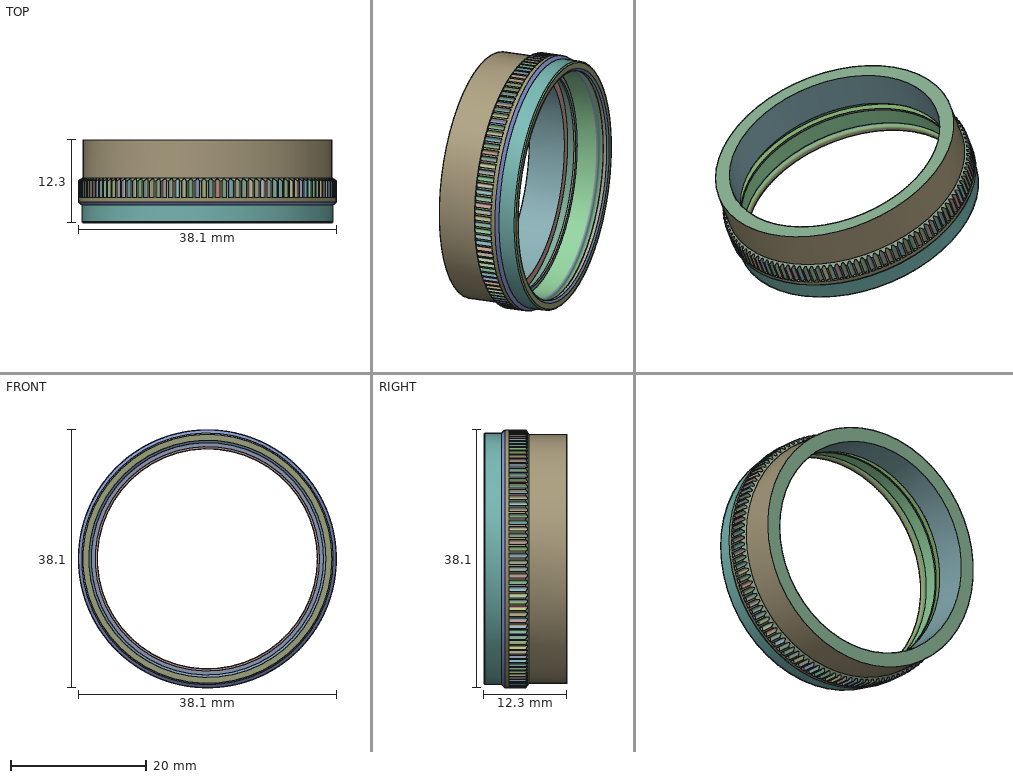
import cadquery as cq
import math

length = 12.27

collar_diameter = 38.1
front_diameter = 37.16
sleeve_diameter = 36.78
collar_radius = collar_diameter / 2
front_radius = front_diameter / 2
sleeve_radius = sleeve_diameter / 2

collar_front = 2.62
knurl_front = 3.73
collar_rear = 6.64
collar_chamfer = collar_radius - front_radius
front_chamfer = 0.2
knurl_bevel = 0.46

front_bore_diameter = 34.29
lip_diameter = 33.12
rear_bore_diameter = 32.46
front_bore_radius = front_bore_diameter / 2
lip_radius = lip_diameter / 2
rear_bore_radius = rear_bore_diameter / 2
undercut_radius = 17.5

bore_chamfer_radial = 0.36
bore_chamfer_depth = 0.26
lip_front = 4.96
lip_rear = 5.26
undercut_rear = collar_rear

groove_front = 0.62
groove_round = 0.32

knurl_count = 120
knurl_root_radius = 18.62
knurl_root_round = 0.2
knurl_half_angle = math.radians(30)
knurl_overshoot = 0.2


def ring_body():
    """Revolve the wall section, drawn with radius along X, about the Y axis."""
    diagonal = groove_round * math.sqrt(0.5)
    fillet_mid_radius = front_bore_radius + groove_round - diagonal
    groove_mouth = groove_front + groove_round
    groove_end = groove_mouth + 2 * groove_round
    groove_rear = groove_end + groove_round
    groove_wall_radius = front_bore_radius + groove_round

    section = (
        cq.Workplane("XY")
        .moveTo(front_bore_radius + bore_chamfer_radial, 0)
        .lineTo(front_radius - front_chamfer, 0)
        .lineTo(front_radius, front_chamfer)
        .lineTo(front_radius, collar_front)
        .lineTo(collar_radius, collar_front + collar_chamfer)
        .lineTo(collar_radius, collar_rear - knurl_bevel)
        .lineTo(sleeve_radius, collar_rear)
        .lineTo(sleeve_radius, length)
        .lineTo(rear_bore_radius, length)
        .lineTo(rear_bore_radius, undercut_rear)
        .lineTo(undercut_radius, undercut_rear)
        .lineTo(undercut_radius, lip_rear)
        .lineTo(lip_radius, lip_rear)
        .lineTo(lip_radius, lip_front)
        .lineTo(front_bore_radius, lip_front)
        .lineTo(front_bore_radius, groove_rear)
        .threePointArc((fillet_mid_radius, groove_end + groove_round - diagonal),
                       (groove_wall_radius, groove_end))
        .threePointArc((groove_wall_radius + groove_round, groove_mouth + groove_round),
                       (groove_wall_radius, groove_mouth))
        .threePointArc((fillet_mid_radius, groove_front + diagonal),
                       (front_bore_radius, groove_front))
        .lineTo(front_bore_radius, bore_chamfer_depth)
        .close()
    )
    return section.revolve(360, (0, 0, 0), (0, 1, 0))


def knurl_cutters():
    """One round-rooted V prism per knurl groove, placed so that a crest is centred on +Z."""
    round_centre = knurl_root_radius + knurl_root_round
    tangent_half_width = knurl_root_round * math.cos(knurl_half_angle)
    tangent_radius = round_centre - knurl_root_round * math.sin(knurl_half_angle)
    outer_radius = collar_radius + knurl_overshoot
    outer_half_width = tangent_half_width + (outer_radius - tangent_radius) * math.tan(knurl_half_angle)
    cutter_length = collar_rear + knurl_overshoot - knurl_front

    cutter = (
        cq.Workplane("XZ", origin=(0, knurl_front, 0))
        .moveTo(-outer_half_width, outer_radius)
        .lineTo(-tangent_half_width, tangent_radius)
        .threePointArc((0, knurl_root_radius), (tangent_half_width, tangent_radius))
        .lineTo(outer_half_width, outer_radius)
        .close()
        .extrude(-cutter_length)
        .val()
    )
    step = 360 / knurl_count
    axis_start = cq.Vector(0, 0, 0)
    axis_end = cq.Vector(0, 1, 0)
    return [cutter.rotate(axis_start, axis_end, (i + 0.5) * step) for i in range(knurl_count)]


ring = ring_body().val().cut(*knurl_cutters())
result = cq.Workplane("XY").newObject(ring.Solids())